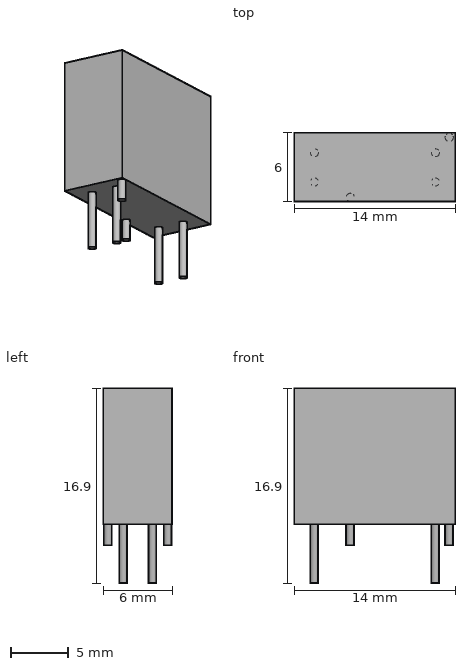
import cadquery as cq

total_height = 16.95
housing_length = 14.0
housing_width = 6.0

long_pin_length = 5.1
long_pin_diameter = 0.7
long_pin_pitch_x = 10.51
long_pin_pitch_y = 2.55

short_pin_length = 1.81
short_pin_diameter = 0.71
short_pin_pitch_y = 5.2
front_short_pin_x = -2.14
rear_short_pin_x = 6.45

housing_height = total_height - long_pin_length
long_pin_places = [
    (side_x * long_pin_pitch_x / 2, side_y * long_pin_pitch_y / 2)
    for side_x in (-1, 1)
    for side_y in (-1, 1)
]
short_pin_places = [
    (front_short_pin_x, -short_pin_pitch_y / 2),
    (rear_short_pin_x, short_pin_pitch_y / 2),
]


def make_housing():
    """Plain block standing on Z = 0."""
    return cq.Workplane("XY").box(
        housing_length, housing_width, housing_height, centered=(True, True, False)
    )


def make_pin(place, diameter, length):
    """Round pin hanging from the underside of the housing."""
    return cq.Workplane("XY").center(*place).circle(diameter / 2).extrude(-length)


housing = make_housing()
long_pins = [make_pin(place, long_pin_diameter, long_pin_length) for place in long_pin_places]
short_pins = [make_pin(place, short_pin_diameter, short_pin_length) for place in short_pin_places]

result = cq.Compound.makeCompound([body.val() for body in [housing, *long_pins, *short_pins]])